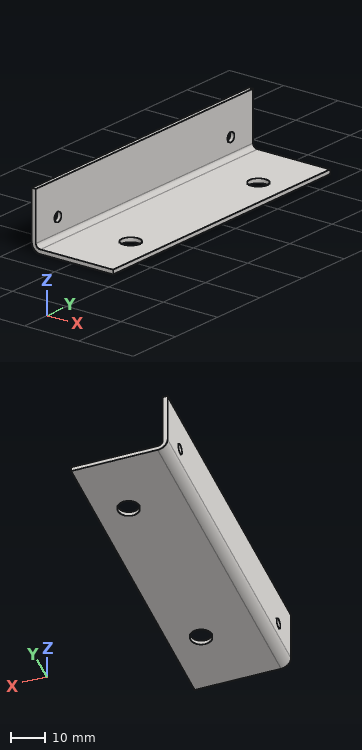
import cadquery as cq

width = 30.0
length = 103.0
height = 20.0

thickness = 1.5
inner_radius = 1.5
outer_radius = inner_radius + thickness

base_hole_diameter = 6.6
base_hole_spacing = 60.5
base_hole_x = 20.0

wall_hole_diameter = 3.2
wall_hole_spacing = 82.0
wall_hole_z = 8.0


def make_angle():
    """L-shaped sheet, centred along Y, with its outer corner at X = Z = 0."""
    outer_box = cq.Workplane("XY").box(width, length, height, centered=(False, True, False))
    outer = outer_box.edges("|Y and <X and <Z").fillet(outer_radius)
    inner_box = (
        cq.Workplane("XY")
        .box(width, length, height, centered=(False, True, False))
        .translate((thickness, 0, thickness))
    )
    inner = inner_box.edges("|Y and <X and <Z").fillet(inner_radius)
    return outer.cut(inner)


def base_hole(y):
    """Vertical hole through the horizontal flange."""
    return cq.Workplane("XY").center(base_hole_x, y).circle(base_hole_diameter / 2).extrude(thickness)


def wall_hole(y):
    """Hole along X through the upright flange."""
    return cq.Workplane("YZ").center(y, wall_hole_z).circle(wall_hole_diameter / 2).extrude(thickness)


result = make_angle()
for side in (-1, 1):
    result = result.cut(base_hole(side * base_hole_spacing / 2))
    result = result.cut(wall_hole(side * wall_hole_spacing / 2))